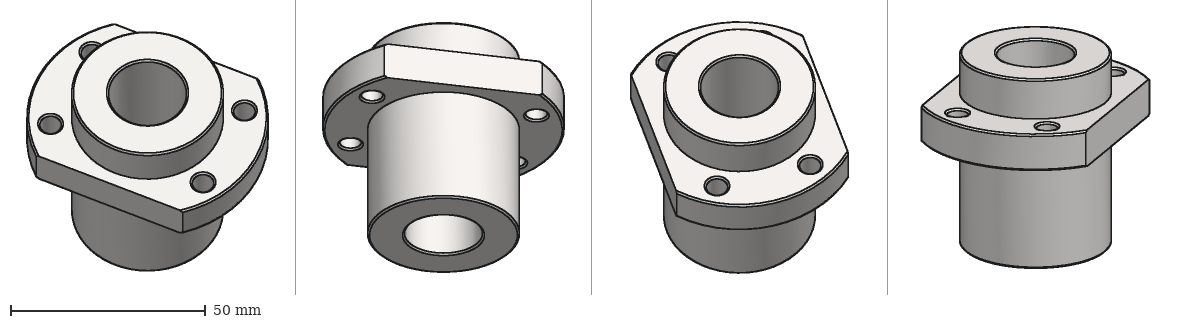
import cadquery as cq
import math

flange_diameter = 62.0
flange_width = 46.0
flange_thickness = 10.0
flange_bottom = 31.2
sleeve_diameter = 39.0
sleeve_length = 52.0
bore_diameter = 20.0
bolt_circle_diameter = 50.0
bolt_hole_diameter = 5.5
bolt_angle = 30.0
edge_chamfer = 0.5

bolt_x = bolt_circle_diameter / 2 * math.cos(math.radians(bolt_angle))
bolt_y = bolt_circle_diameter / 2 * math.sin(math.radians(bolt_angle))


def chamfered_cylinder(diameter, bottom, height):
    """Upright cylinder with both end edges chamfered."""
    return (
        cq.Workplane("XY", origin=(0, 0, bottom))
        .circle(diameter / 2)
        .extrude(height)
        .edges("%CIRCLE")
        .chamfer(edge_chamfer)
    )


def chamfered_hole(diameter, bottom, depth, x=0, y=0):
    """Cutter for a through hole widened by a chamfer at both mouths."""
    radius = diameter / 2
    mouth_radius = radius + edge_chamfer
    top = bottom + depth
    profile = [
        (0, bottom),
        (mouth_radius, bottom),
        (radius, bottom + edge_chamfer),
        (radius, top - edge_chamfer),
        (mouth_radius, top),
        (0, top),
    ]
    cutter = cq.Workplane("XZ").polyline(profile).close().revolve(360, (0, 0), (0, 1))
    return cutter.translate((x, y, 0))


flats_envelope = cq.Workplane("XY").box(
    flange_diameter, flange_width, sleeve_length, centered=(True, True, False)
)
flange = chamfered_cylinder(flange_diameter, flange_bottom, flange_thickness).intersect(flats_envelope)

sleeve = chamfered_cylinder(sleeve_diameter, 0, sleeve_length)
result = sleeve.union(flange).cut(chamfered_hole(bore_diameter, 0, sleeve_length))

for side_x in (-1, 1):
    for side_y in (-1, 1):
        bolt_hole = chamfered_hole(
            bolt_hole_diameter, flange_bottom, flange_thickness, side_x * bolt_x, side_y * bolt_y
        )
        result = result.cut(bolt_hole)